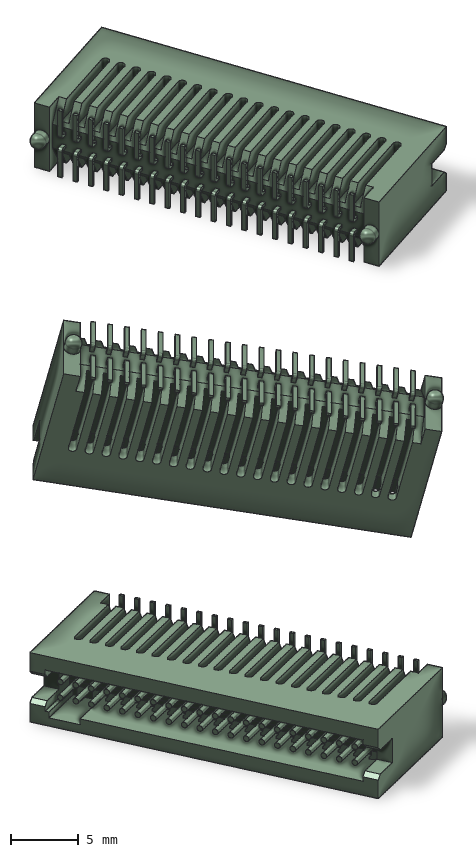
import cadquery as cq
LENGTH = 28.57
HEIGHT = 5.77
DEPTH = 11.03
HALF_LENGTH = LENGTH / 2
HALF_HEIGHT = HEIGHT / 2

PEG_DIAMETER = 1.25
PEG_RADIUS = PEG_DIAMETER / 2
PEG_LENGTH = 1.17
EAR_WIDTH = PEG_DIAMETER
INNER_LENGTH = LENGTH - 2 * EAR_WIDTH
RECESS_Y = 0.49
BEVEL_LENGTH = 1.05

CARD_SLOT_HEIGHT = 2.0
CARD_SLOT_DEPTH = 2.4
LEAD_IN = 0.35

CONTACT_COUNT = 20
PITCH = 1.27
CONTACT_XS = [(i - (CONTACT_COUNT - 1) / 2) * PITCH for i in range(CONTACT_COUNT)]

SLOT_WIDTH = 0.63
SLOT_END_Y = DEPTH - 3.43
SLOT_FLOOR_Z = 1.4

POCKET_DEPTH = 4.15
POCKET_FLOOR_Y = DEPTH - POCKET_DEPTH
POCKET_HALF_HEIGHT = 1.7
KEYWAY_BOTTOM_Z = -2.2
KEYWAY_CONTACTS = 2

INSERT_HALF_HEIGHT = 1.05
ROD_DIAMETER = 0.45
ROD_Z = 0.65
ROD_END_Y = DEPTH - 0.6
TAIL_WIDTH = 0.35
TAIL_THICKNESS = 0.23
TAIL_FRONT_Y = -0.2
TAIL_BOTTOM_Z = 0.45
TAIL_TOP_Z = 5.97 / 2
OUTER_BEND_RADIUS = 0.25
INNER_BEND_RADIUS = 0.17


def box(x_range, y_range, z_range):
    """Box between the given limits on each axis."""
    limits = (x_range, y_range, z_range)
    sizes = [high - low for low, high in limits]
    corner = tuple(low for low, high in limits)
    return cq.Workplane("XY").box(*sizes, centered=False).translate(corner)


def extrude_along_x(outline, width):
    """Extrude a closed YZ outline, centred on X = 0."""
    return outline.close().extrude(width).translate((-width / 2, 0, 0))


def mirror_z(shape):
    return shape.mirror("XY")


def housing_block():
    """Block with the recess between its ears and the bevels that lead into the recess."""
    block = box((-HALF_LENGTH, HALF_LENGTH), (0, DEPTH), (-HALF_HEIGHT, HALF_HEIGHT))
    recess = extrude_along_x(
        cq.Workplane("YZ")
        .moveTo(0, -HALF_HEIGHT)
        .lineTo(RECESS_Y + BEVEL_LENGTH, -HALF_HEIGHT)
        .lineTo(RECESS_Y, -INSERT_HALF_HEIGHT)
        .lineTo(RECESS_Y, INSERT_HALF_HEIGHT)
        .lineTo(RECESS_Y + BEVEL_LENGTH, HALF_HEIGHT)
        .lineTo(0, HALF_HEIGHT),
        INNER_LENGTH,
    )
    return block.cut(recess)


def card_slot():
    """Slot through both ears with a chamfered mouth."""
    half_slot = CARD_SLOT_HEIGHT / 2
    half_mouth = half_slot + LEAD_IN
    return extrude_along_x(
        cq.Workplane("YZ")
        .moveTo(DEPTH - CARD_SLOT_DEPTH, -half_slot)
        .lineTo(DEPTH - LEAD_IN, -half_slot)
        .lineTo(DEPTH, -half_mouth)
        .lineTo(DEPTH, half_mouth)
        .lineTo(DEPTH - LEAD_IN, half_slot)
        .lineTo(DEPTH - CARD_SLOT_DEPTH, half_slot),
        LENGTH,
    )


def insert_bar():
    """Plain bar that fills the pocket between the ears."""
    return box(
        (-INNER_LENGTH / 2, INNER_LENGTH / 2),
        (RECESS_Y, POCKET_FLOOR_Y),
        (-INSERT_HALF_HEIGHT, INSERT_HALF_HEIGHT),
    )


def mating_pocket():
    """Pocket around the contact rods, deepened by the keyway."""
    y_range = (POCKET_FLOOR_Y, DEPTH)
    half_length = INNER_LENGTH / 2
    pocket = box((-half_length, half_length), y_range, (-POCKET_HALF_HEIGHT, POCKET_HALF_HEIGHT))
    keyway_end_x = CONTACT_XS[-1] + PITCH / 2
    keyway_start_x = keyway_end_x - KEYWAY_CONTACTS * PITCH
    keyway = box((keyway_start_x, keyway_end_x), y_range, (KEYWAY_BOTTOM_Z, 0))
    return pocket.union(keyway)


def contact_slot(x):
    """Upper slot of one contact: a flat floor, then a round end that opens into the pocket."""
    half_width = SLOT_WIDTH / 2
    x_range = (x - half_width, x + half_width)
    round_center_y = SLOT_END_Y - half_width
    floored = box(x_range, (0, round_center_y), (SLOT_FLOOR_Z, HALF_HEIGHT))
    opening = box(x_range, (POCKET_FLOOR_Y, round_center_y), (0, HALF_HEIGHT))
    round_end = cq.Workplane("XY").circle(half_width).extrude(HALF_HEIGHT)
    return floored.union(opening).union(round_end.translate((x, round_center_y, 0)))


def peg(x):
    """Locating peg with a hemispherical tip."""
    shoulder_y = PEG_RADIUS - PEG_LENGTH
    half_profile = (
        cq.Workplane("XY")
        .lineTo(PEG_RADIUS, 0)
        .lineTo(PEG_RADIUS, shoulder_y)
        .radiusArc((0, -PEG_LENGTH), PEG_RADIUS)
        .close()
    )
    return half_profile.revolve(360, (0, 0, 0), (0, 1, 0)).translate((x, 0, 0))


def make_housing():
    body = housing_block().cut(card_slot()).cut(insert_bar()).cut(mating_pocket())
    for x in CONTACT_XS:
        slot = contact_slot(x)
        body = body.cut(slot).cut(mirror_z(slot))
    for side in (-1, 1):
        body = body.union(peg(side * (HALF_LENGTH - PEG_RADIUS)))
    return body


def tail():
    """Solder tail: leaves the bar towards -Y, then bends up through a right angle."""
    back_y = TAIL_FRONT_Y + TAIL_THICKNESS
    leg_top_z = TAIL_BOTTOM_Z + TAIL_THICKNESS
    return extrude_along_x(
        cq.Workplane("YZ")
        .moveTo(RECESS_Y, TAIL_BOTTOM_Z)
        .lineTo(TAIL_FRONT_Y + OUTER_BEND_RADIUS, TAIL_BOTTOM_Z)
        .radiusArc((TAIL_FRONT_Y, TAIL_BOTTOM_Z + OUTER_BEND_RADIUS), OUTER_BEND_RADIUS)
        .lineTo(TAIL_FRONT_Y, TAIL_TOP_Z)
        .lineTo(back_y, TAIL_TOP_Z)
        .lineTo(back_y, leg_top_z + INNER_BEND_RADIUS)
        .radiusArc((back_y + INNER_BEND_RADIUS, leg_top_z), -INNER_BEND_RADIUS)
        .lineTo(RECESS_Y, leg_top_z),
        TAIL_WIDTH,
    )


def contact():
    """Exposed parts of one upper contact: the solder tail and the mating rod."""
    rod = (
        cq.Workplane("XZ", origin=(0, POCKET_FLOOR_Y, ROD_Z))
        .circle(ROD_DIAMETER / 2)
        .extrude(POCKET_FLOOR_Y - ROD_END_Y)
    )
    return [tail(), rod]


def make_contact_insert():
    pieces = []
    for piece in contact():
        for half in (piece, mirror_z(piece)):
            pieces.extend(half.translate((x, 0, 0)).val() for x in CONTACT_XS)
    return cq.Workplane(insert_bar().val().fuse(*pieces))


housing = make_housing()
contact_insert = make_contact_insert()

result = cq.Compound.makeCompound([housing.val(), contact_insert.val()])